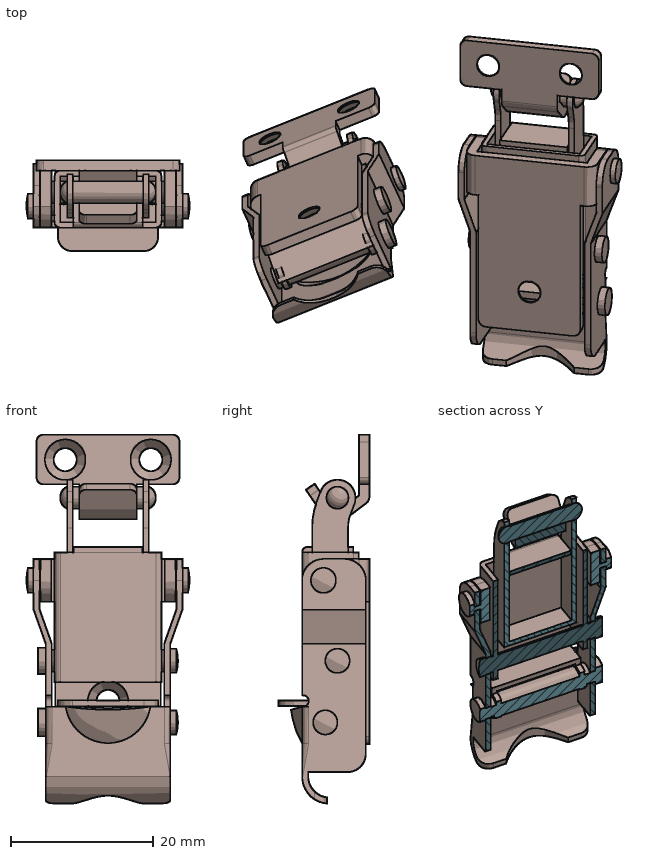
import cadquery as cq
import math


overall_width = 23.0

plate_t = 1.5
lever_t = 0.9
carrier_t = 0.8
thin_t = 0.85
pin_r = 1.55
front_y = -9.5

screw_hole_r = 1.6
countersink_r = 2.85

lever_axis = (-6.5, 31.4)
carrier_axis = (-4.5, 20.1)
lock_axis = (-6.25, 11.4)
hook_axis = (-4.5, 43.0)

base_bottom = 8.35
base_half_width = 7.4
base_corner_r = 1.1
base_hole_z = 14.4
ear_outer_x = 9.5
ear_r = 3.0
ear_bend_r = 1.55
post_head_r = 1.75
post_edge_x = 11.25
post_tip_x = overall_width / 2

lever_back_y = -0.5
lever_upper_x = 10.5
lever_lower_x = 8.75
bend_top_z = 27.3
bend_bottom_z = 22.45
lever_side_bottom = 4.4
lever_corner_r = 2.6
notch_r = 0.8
notch_y = -9.35
notch_z = 14.45
web_top = notch_z - notch_r
curl_r = 3.85
curl_end_y = -5.95
curl_corner_r = 1.8
scallop_depth = 2.4
scallop_half_width = 4.95
curl_z = math.sqrt(curl_r**2 - (front_y + curl_r - curl_end_y) ** 2)
edge_taper_top = 8.5
edge_taper_end_r = 0.05
dome_z = 14.55
dome_rim_r = 6.0
dome_height = 1.65
dome_top_slope = 16.0

carrier_half_width = 7.5
carrier_bottom = 17.1
carrier_top = 35.35
flange_half_width = 4.9

flat_head_x = -9.85
carrier_flat_head_r = 1.85
lock_flat_head_r = 1.95
dome_head_r = 1.7
dome_edge_x = 9.6
dome_tip_x = 9.85

fork_inner_x = 4.95
arm_front_y = -8.1
arm_half_width = 2.55
arm_bend_z = 38.8
arm_lean = 20.5
fork_clearance = 0.8
fork_bottom = carrier_axis[1] + pin_r + fork_clearance
hook_pin_tip_x = 6.75

catch_top = 51.9
catch_height = 7.0
catch_half_width = 10.05
catch_hole_x = 6.0
catch_hole_z = 48.35
catch_corner_r = 1.0
neck_half_width = 4.05
catch_bend_r = 1.25
slope_angle = 37.0
lip_angle = 56.0
lip_length = 3.4

tab_half_width = 7.05
tab_bottom = 13.7
tab_front_y = -12.8
tab_corner_r = 2.0
lock_ear_r = 1.95
foot_slope = 37.0


def span(x0, x1, y0, y1, z0, z1):
    """Block between the given coordinates."""
    block = cq.Workplane("XY").box(abs(x1 - x0), abs(y1 - y0), abs(z1 - z0))
    return block.translate(((x0 + x1) / 2, (y0 + y1) / 2, (z0 + z1) / 2))


def rod(axis, radius, x0, x1):
    """Cylinder along X on an axis given as (y, z)."""
    return cq.Workplane("YZ", origin=(x0, *axis)).circle(radius).extrude(x1 - x0)


def domed_rod(axis, radius, x0, x_edge, x_tip):
    """Cylinder from x0 to x_edge along X, capped by a dome that ends at x_tip."""
    rise = abs(x_tip - x_edge)
    sphere_r = (radius**2 + rise**2) / (2 * rise)
    mid_r = radius / 2
    mid_x = math.sqrt(sphere_r**2 - mid_r**2) - (sphere_r - rise)
    mid_x = x_edge + math.copysign(mid_x, x_tip - x_edge)
    profile = (
        cq.Workplane("XY")
        .moveTo(x0, 0)
        .lineTo(x0, radius)
        .lineTo(x_edge, radius)
        .threePointArc((mid_x, mid_r), (x_tip, 0))
        .close()
    )
    return profile.revolve(360, (0, 0, 0), (1, 0, 0)).translate((0, *axis))


def mirrored(body):
    """The body together with its mirror image across x = 0."""
    return body.union(body.mirror("YZ"))


def countersunk_hole(x, z):
    """Cutter for a screw hole through a plate at y = 0, wide at the front."""
    depth = countersink_r - screw_hole_r
    inward = cq.Vector(0, 1, 0)
    front = cq.Vector(x, -plate_t, z)
    sink = cq.Solid.makeCone(countersink_r, screw_hole_r, depth, front, inward)
    hole = cq.Solid.makeCylinder(screw_hole_r, plate_t, front, inward)
    return cq.Workplane(sink).union(cq.Workplane(hole))


def rivet(axis, flat_head_r):
    """Rivet across the lever with a flat head at -X and a domed head at +X."""
    shank = rod(axis, pin_r, -lever_lower_x, lever_lower_x)
    flat_head = rod(axis, flat_head_r, flat_head_x, -lever_lower_x)
    domed_head = domed_rod(axis, dome_head_r, lever_lower_x, dome_edge_x, dome_tip_x)
    return shank.union(flat_head).union(domed_head)


def make_base():
    """Mounting plate with two round-ended ears, each carrying a pivot post."""
    pivot_y, pivot_z = lever_axis
    ear_bottom = pivot_z - ear_r
    ear_top = pivot_z + ear_r
    plate = span(-base_half_width, base_half_width, -plate_t, 0, base_bottom, ear_top)
    plate = plate.edges("|Y and <Z").fillet(base_corner_r)
    plate = plate.cut(countersunk_hole(0, base_hole_z))

    channel = span(-ear_outer_x, ear_outer_x, pivot_y - ear_r, 0, ear_bottom, ear_top)
    channel = channel.edges("|Z and >Y").fillet(ear_bend_r)
    inner_x = ear_outer_x - plate_t
    channel = channel.cut(
        span(-inner_x, inner_x, pivot_y - ear_r, -plate_t, ear_bottom, ear_top)
    )
    ear_outline = rod(lever_axis, ear_r, -ear_outer_x, ear_outer_x)
    ear_outline = ear_outline.union(
        span(-ear_outer_x, ear_outer_x, pivot_y, 0, ear_bottom, ear_top)
    )
    channel = channel.intersect(ear_outline)

    post = rod(lever_axis, pin_r, ear_outer_x, lever_upper_x)
    post = post.union(
        domed_rod(lever_axis, post_head_r, lever_upper_x, post_edge_x, post_tip_x)
    )
    return plate.union(channel).union(mirrored(post))


def lever_side():
    """Side plate at +X: joggled outwards at the top, rounded at the corners."""
    upper_in = lever_upper_x - lever_t
    lower_in = lever_lower_x - lever_t
    top = lever_axis[1] + ear_r
    joggle = [
        (lower_in, lever_side_bottom),
        (lever_lower_x, lever_side_bottom),
        (lever_lower_x, bend_bottom_z),
        (lever_upper_x, bend_top_z),
        (lever_upper_x, top),
        (upper_in, top),
        (upper_in, bend_top_z),
        (lower_in, bend_bottom_z),
    ]
    depth = lever_back_y - front_y
    side = cq.Workplane("XZ", origin=(0, lever_back_y, 0)).polyline(joggle).close().extrude(depth)

    outline = span(0, lever_upper_x, front_y, lever_back_y, lever_side_bottom, top)
    outline = outline.edges("|X and >Z").fillet(ear_r)
    outline = outline.edges("|X and <Z and >Y").fillet(lever_corner_r)
    side = side.intersect(outline)

    notch = rod((notch_y, notch_z), notch_r, 0, lever_lower_x)
    notch = notch.union(
        span(0, lever_lower_x, front_y, notch_y, notch_z - notch_r, notch_z + notch_r)
    )
    side = side.cut(notch)
    side = side.cut(rod(lever_axis, pin_r, 0, lever_upper_x))
    for axis in (carrier_axis, lock_axis):
        side = side.cut(rod(axis, pin_r, 0, lever_lower_x))
    return side


def finger_curl():
    """Quarter-round finger grip below the web with a scalloped free edge."""
    center = (front_y + curl_r, curl_z)
    ring = rod(center, curl_r, -lever_lower_x, lever_lower_x)
    ring = ring.cut(rod(center, curl_r - lever_t, -lever_lower_x, lever_lower_x))
    plan = span(-lever_lower_x, lever_lower_x, front_y, curl_end_y, 0, curl_z)
    plan = plan.edges("|Z and >Y").fillet(curl_corner_r)
    scallop_r = (scallop_half_width**2 + scallop_depth**2) / (2 * scallop_depth)
    scallop_y = curl_end_y - scallop_depth + scallop_r
    plan = plan.cut(cq.Workplane("XY").center(0, scallop_y).circle(scallop_r).extrude(curl_z))
    return ring.intersect(plan)


def front_edge_cutter():
    """Cutter that rounds the front edge at +X, its radius shrinking downwards."""

    def corner(plane, radius):
        x, y = lever_lower_x, front_y
        inset = radius * (1 - math.sqrt(0.5))
        return (
            plane.moveTo(x, y)
            .lineTo(x, y + radius)
            .threePointArc((x - inset, y + inset), (x - radius, y))
            .close()
        )

    upper = corner(cq.Workplane("XY", origin=(0, 0, edge_taper_top)), lever_t)
    upper = upper.extrude(web_top - edge_taper_top)
    taper = corner(cq.Workplane("XY", origin=(0, 0, curl_z)), edge_taper_end_r)
    taper = corner(taper.workplane(offset=edge_taper_top - curl_z), lever_t)
    return upper.union(taper.loft(ruled=True))


def pressed_dome():
    """Outer and inner shapes of the dome pressed into the top of the web."""
    sphere_r = (dome_rim_r**2 + dome_height**2) / (2 * dome_height)
    center = (0, front_y - dome_height + sphere_r, dome_z)
    outer = cq.Workplane("XY").sphere(sphere_r).translate(center)
    inner = cq.Workplane("XY").sphere(sphere_r - lever_t).translate(center)

    reach = 2 * dome_height
    drop = reach * math.tan(math.radians(dome_top_slope))
    below_rim = dome_z - dome_rim_r
    side_outline = [
        (front_y + lever_t, below_rim),
        (front_y + lever_t, web_top),
        (front_y, web_top),
        (front_y - reach, web_top - drop),
        (front_y - reach, below_rim),
    ]
    limits = cq.Workplane("YZ").polyline(side_outline).close().extrude(dome_rim_r, both=True)
    return outer.intersect(limits), inner.intersect(limits)


def make_lever():
    """Channel-shaped lever: two side plates, a front web and a finger curl."""
    web = span(-lever_lower_x, lever_lower_x, front_y, front_y + lever_t, curl_z, web_top)
    lever = mirrored(lever_side()).union(web)
    lever = lever.cut(mirrored(front_edge_cutter()))
    dome_outer, dome_inner = pressed_dome()
    return lever.union(dome_outer).cut(dome_inner).union(finger_curl())


def make_carrier():
    """Box sleeve with a flange folded over its top and its pivot rivet."""
    width = carrier_half_width
    inner_width = width - carrier_t
    inner_front = front_y + carrier_t
    inner_back = -plate_t - carrier_t
    box = span(-width, width, front_y, -plate_t, carrier_bottom, carrier_top)
    box = box.edges("|Z").fillet(carrier_t)
    box = box.cut(
        span(-inner_width, inner_width, inner_front, inner_back, carrier_bottom, carrier_top)
    )
    flange_top = carrier_top + carrier_t
    flange = span(
        -flange_half_width, flange_half_width, front_y, inner_back, carrier_bottom, flange_top
    )
    flange = flange.edges("|X and >Z and <Y").fillet(carrier_t)
    flange = flange.intersect(
        span(-carrier_half_width, carrier_half_width, front_y, 0, carrier_top, flange_top)
    )
    return box.union(flange).union(rivet(carrier_axis, carrier_flat_head_r))


def fork_arm():
    """Arm at +X: straight below, bent back to a round end at the hook pin."""
    lean = math.radians(arm_lean)
    sin, cos = math.sin(lean), math.cos(lean)
    axis_y = arm_front_y + arm_half_width
    pin_y, pin_z = hook_axis
    rise = pin_z - arm_bend_z
    shift = pin_y - axis_y
    bend_r = (rise * sin - shift * cos) / (1 - cos)
    bend_center_y = axis_y + bend_r

    def bend_end(radius):
        return (bend_center_y - radius * cos, arm_bend_z + radius * sin)

    front_r = bend_r + arm_half_width
    back_r = bend_r - arm_half_width
    head_front = (pin_y - arm_half_width * cos, pin_z + arm_half_width * sin)
    head_top = (pin_y + arm_half_width * sin, pin_z + arm_half_width * cos)
    head_back = (pin_y + arm_half_width * cos, pin_z - arm_half_width * sin)
    half = math.radians(arm_lean / 2)
    back_mid = (bend_center_y - back_r * math.cos(half), arm_bend_z + back_r * math.sin(half))
    front_mid = (bend_center_y - front_r * math.cos(half), arm_bend_z + front_r * math.sin(half))
    back_y = axis_y + arm_half_width
    return (
        cq.Workplane("YZ", origin=(fork_inner_x, 0, 0))
        .moveTo(arm_front_y, fork_bottom)
        .lineTo(arm_front_y, arm_bend_z)
        .threePointArc(front_mid, bend_end(front_r))
        .lineTo(*head_front)
        .threePointArc(head_top, head_back)
        .lineTo(*bend_end(back_r))
        .threePointArc(back_mid, (back_y, arm_bend_z))
        .lineTo(back_y, fork_bottom)
        .close()
        .extrude(thin_t)
    )


def make_fork():
    """U-shaped fork: two arms joined by a cross plate inside the carrier."""
    outer_x = fork_inner_x + thin_t
    back_y = arm_front_y + 2 * arm_half_width
    cross_plate = span(-outer_x, outer_x, arm_front_y, back_y, fork_bottom, fork_bottom + thin_t)
    arms = mirrored(fork_arm()).cut(rod(hook_axis, pin_r, -outer_x, outer_x))
    return arms.union(cross_plate)


def make_hook_pin():
    """Pin across the fork with a dome outside each arm."""
    edge_x = fork_inner_x + thin_t
    shank = rod(hook_axis, pin_r, -edge_x, edge_x)
    return shank.union(mirrored(domed_rod(hook_axis, pin_r, fork_inner_x, edge_x, hook_pin_tip_x)))


def make_catch():
    """Screw plate whose neck bends into an upturned hook around the hook pin."""
    plate = span(
        -catch_half_width, catch_half_width, -plate_t, 0, catch_top - catch_height, catch_top
    )
    plate = plate.edges("|Y").fillet(catch_corner_r)

    slope, lip = math.radians(slope_angle), math.radians(lip_angle)
    pin_y, pin_z = hook_axis
    outer_r = pin_r + plate_t

    def slope_start(radius, face_y):
        """Where the slope face at this distance from the pin meets a plate face."""
        tangent_y = pin_y + radius * math.sin(slope)
        tangent_z = pin_z - radius * math.cos(slope)
        return (face_y, tangent_z + (face_y - tangent_y) * math.tan(slope))

    def around_pin(radius, angle):
        """Point on the bend, the angle running from straight down towards the front."""
        return (pin_y - radius * math.sin(angle), pin_z - radius * math.cos(angle))

    def lip_end(radius):
        y, z = around_pin(radius, lip)
        return (y - lip_length * math.cos(lip), z + lip_length * math.sin(lip))

    middle = (lip - slope) / 2
    hook = (
        cq.Workplane("YZ")
        .moveTo(0, catch_hole_z)
        .lineTo(*slope_start(outer_r, 0))
        .lineTo(*around_pin(outer_r, -slope))
        .threePointArc(around_pin(outer_r, middle), around_pin(outer_r, lip))
        .lineTo(*lip_end(outer_r))
        .lineTo(*lip_end(pin_r))
        .lineTo(*around_pin(pin_r, lip))
        .threePointArc(around_pin(pin_r, middle), around_pin(pin_r, -slope))
        .lineTo(*slope_start(pin_r, -plate_t))
        .lineTo(-plate_t, catch_hole_z)
        .close()
        .extrude(neck_half_width, both=True)
    )
    bend_edge = cq.selectors.NearestToPointSelector((0, *slope_start(outer_r, 0)))
    hook = hook.edges("|X").edges(bend_edge).fillet(catch_bend_r)
    tip_y = (lip_end(outer_r)[0] + lip_end(pin_r)[0]) / 2
    tip_z = (lip_end(outer_r)[1] + lip_end(pin_r)[1]) / 2
    for side in (-1, 1):
        tip_corner = cq.selectors.NearestToPointSelector((side * neck_half_width, tip_y, tip_z))
        hook = hook.edges(tip_corner).fillet(catch_corner_r)

    catch = plate.union(hook)
    for side in (-1, 1):
        catch = catch.cut(countersunk_hole(side * catch_hole_x, catch_hole_z))
    return catch


def make_lock():
    """Thumb tab on two ears and a rivet, with a sloping foot against the base."""
    pivot_y, pivot_z = lock_axis
    tab_top = tab_bottom + thin_t
    tab = span(-tab_half_width, tab_half_width, tab_front_y, pivot_y, tab_bottom, tab_top)
    tab = tab.edges("|Z and <Y").fillet(tab_corner_r)

    ear_inner_x = tab_half_width - thin_t
    ear = rod(lock_axis, lock_ear_r, ear_inner_x, tab_half_width)
    ear = ear.union(
        span(ear_inner_x, tab_half_width, pivot_y - lock_ear_r, pivot_y, pivot_z, tab_top)
    )

    foot_run = -plate_t - pivot_y
    foot_rise = foot_run * math.tan(math.radians(foot_slope))
    foot_height = thin_t / math.cos(math.radians(foot_slope))
    foot_outline = [
        (-plate_t, tab_bottom),
        (pivot_y, tab_bottom - foot_rise),
        (pivot_y, tab_bottom - foot_rise - foot_height),
        (-plate_t, tab_bottom - foot_height),
    ]
    foot = cq.Workplane("YZ").polyline(foot_outline).close().extrude(base_half_width, both=True)
    return tab.union(mirrored(ear)).union(foot).union(rivet(lock_axis, lock_flat_head_r))


base = make_base()
lever = make_lever()
carrier = make_carrier()
fork = make_fork()
hook_pin = make_hook_pin()
catch = make_catch()
lock = make_lock()

result = cq.Compound.makeCompound(
    [
        base.solids().val(),
        lever.solids().val(),
        carrier.solids().val(),
        fork.solids().val(),
        hook_pin.solids().val(),
        catch.solids().val(),
        lock.solids().val(),
    ]
)